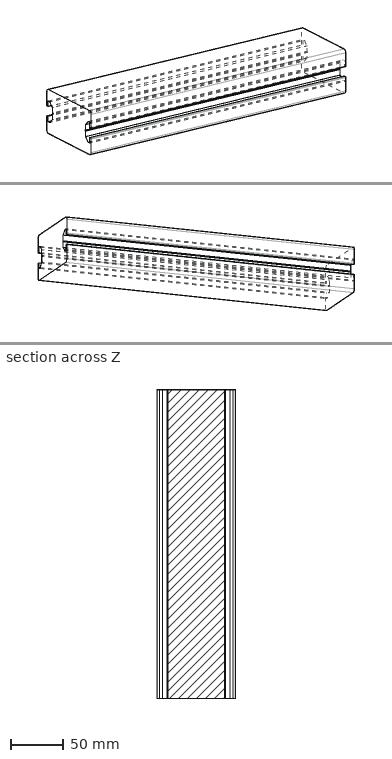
import cadquery as cq

width = 75.0
length = 295.0
height = 45.0
corner_radius = 3.0

slot_opening = 10.0
slot_depth = 9.5
lip_thickness = 2.5
lip_edge_radius = 0.75
chamber_height = 21.0
floor_height = 12.3
chamber_chamfer = (chamber_height - floor_height) / 2

groove_depth = 1.0
groove_width = 1.0


def make_bar():
    """Solid bar centred on the origin, with its four long edges rounded."""
    bar = cq.Workplane("XY").box(width, length, height)
    return bar.edges("|Y").fillet(corner_radius)


def make_slot(side):
    """Cutter for one T-slot; side is -1 for the -X face and +1 for the +X face."""
    upper_half = [
        (0, slot_opening / 2),
        (lip_thickness, slot_opening / 2),
        (lip_thickness, chamber_height / 2),
        (slot_depth - chamber_chamfer, chamber_height / 2),
        (slot_depth, floor_height / 2),
        (slot_depth, groove_width / 2),
    ]
    groove_tip = (slot_depth + groove_depth, 0)
    lower_half = [(depth, -z) for depth, z in reversed(upper_half)]
    outline = [
        (side * (width / 2 - depth), z)
        for depth, z in upper_half + [groove_tip] + lower_half
    ]
    return (
        cq.Workplane("XZ")
        .polyline(outline)
        .close()
        .extrude(length / 2, both=True)
    )


def round_lip_edges(body):
    """Round the outer edges of the slot openings on both side faces."""
    edge_box = cq.selectors.BoxSelector(
        (-width, -length, -slot_opening / 2 - lip_edge_radius),
        (width, length, slot_opening / 2 + lip_edge_radius),
    )
    for side_face in ("<X", ">X"):
        body = body.faces(side_face).edges("|Y").edges(edge_box).fillet(lip_edge_radius)
    return body


def make_profile():
    """Rounded bar with a T-slot in each narrow side."""
    body = make_bar()
    for side in (-1, 1):
        body = body.cut(make_slot(side))
    return round_lip_edges(body)


result = make_profile()